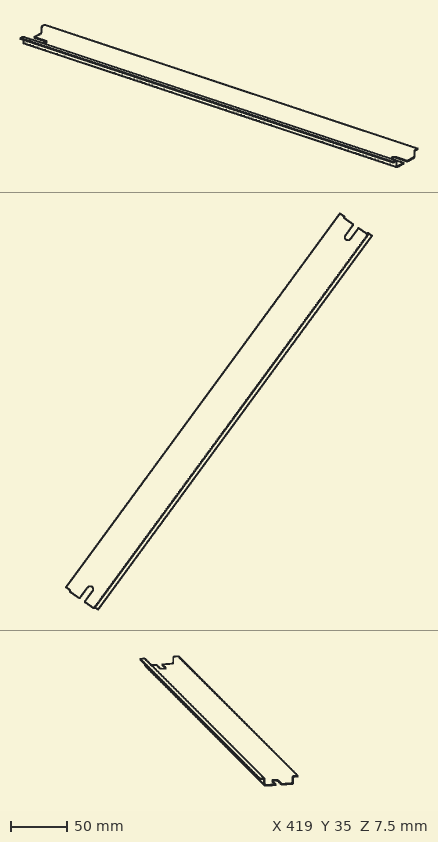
import cadquery as cq

length = 419.0
width = 35.0
height = 7.5
thickness = 1.0
channel_width = 27.0
inner_bend_radius = 0.8
outer_bend_radius = inner_bend_radius + thickness

slot_width = 5.5
slot_depth = 15.0


def round_edge_pair(solid, y, z, radius):
    """Round the two lengthwise edges at +y and -y at height z."""
    for edge_y in (y, -y):
        edge = cq.selectors.NearestToPointSelector((0, edge_y, z))
        solid = solid.edges(edge).fillet(radius)
    return solid


def rail():
    """Sheet section: base, two side walls and two outward flanges."""
    wall_outer = channel_width / 2
    wall_inner = wall_outer - thickness
    flange_bottom = height - thickness
    right_half = [
        (wall_outer, 0),
        (wall_outer, flange_bottom),
        (width / 2, flange_bottom),
        (width / 2, height),
        (wall_inner, height),
        (wall_inner, thickness),
    ]
    left_half = [(-y, z) for y, z in reversed(right_half)]
    solid = (
        cq.Workplane("YZ")
        .polyline(right_half + left_half)
        .close()
        .extrude(length / 2, both=True)
    )
    solid = round_edge_pair(solid, wall_outer, 0, outer_bend_radius)
    solid = round_edge_pair(solid, wall_inner, thickness, inner_bend_radius)
    solid = round_edge_pair(solid, wall_outer, flange_bottom, inner_bend_radius)
    return round_edge_pair(solid, wall_inner, height, outer_bend_radius)


def end_slot(side):
    """Cutter for the slot at the +X (side = 1) or -X (side = -1) end."""
    cutter_length = 2 * slot_depth
    return (
        cq.Workplane("XY")
        .center(side * length / 2, 0)
        .slot2D(cutter_length, slot_width)
        .extrude(height)
    )


result = rail()
for side in (-1, 1):
    result = result.cut(end_slot(side))